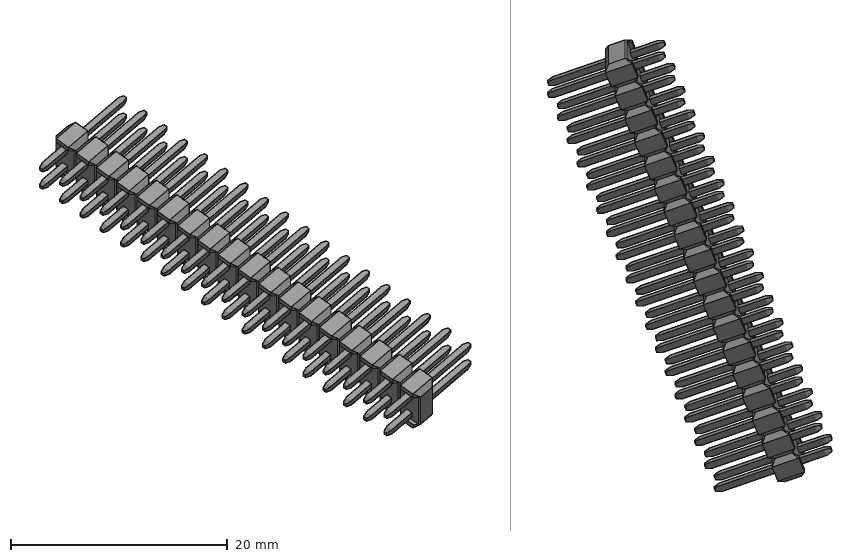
import cadquery as cq

header_length = 45.7
header_height = 5.05
pin_length = 11.5

column_count = 18
pitch = header_length / column_count
first_column_x = -(column_count - 1) / 2 * pitch
column_positions = [first_column_x + i * pitch for i in range(column_count)]
row_positions = [-pitch / 2, pitch / 2]

block_depth = 2.65
block_chamfer = 0.5
groove_depth = 0.35
lip_thickness = 0.55

pin_width = 0.65
pin_tip_width = 0.35
pin_taper_length = 0.55
front_pin_length = 2.93

block_front = -pin_length / 2 + front_pin_length
block_center = block_front + block_depth / 2


def make_block():
    """One housing block, chamfered around both faces where it meets its neighbours."""
    block = (
        cq.Workplane("XY")
        .box(pitch, block_depth, header_height)
        .faces("<X or >X")
        .chamfer(block_chamfer)
        .translate((0, block_center, 0))
    )
    return block.cut(make_groove())


def make_groove():
    """Cutter for the groove along the front, leaving a lip above and below."""
    return (
        cq.Workplane("XY")
        .box(pitch, 2 * groove_depth, header_height - 2 * lip_thickness)
        .translate((0, block_front, 0))
    )


def make_pin(z):
    """One square pin with a tapered tip at each end."""
    shaft_length = pin_length - 2 * pin_taper_length
    shaft = cq.Workplane("XY").box(pin_width, shaft_length, pin_width)
    front_tip = (
        shaft.faces("<Y")
        .workplane()
        .rect(pin_width, pin_width)
        .workplane(offset=pin_taper_length)
        .rect(pin_tip_width, pin_tip_width)
        .loft(combine=False)
    )
    back_tip = front_tip.mirror("XZ")
    return shaft.union(front_tip).union(back_tip).translate((0, 0, z))


column = make_block()
for row_z in row_positions:
    column = column.union(make_pin(row_z))

columns = [column.translate((x, 0, 0)).val() for x in column_positions]
result = cq.Workplane(columns[0].fuse(*columns[1:]).Solids()[0])